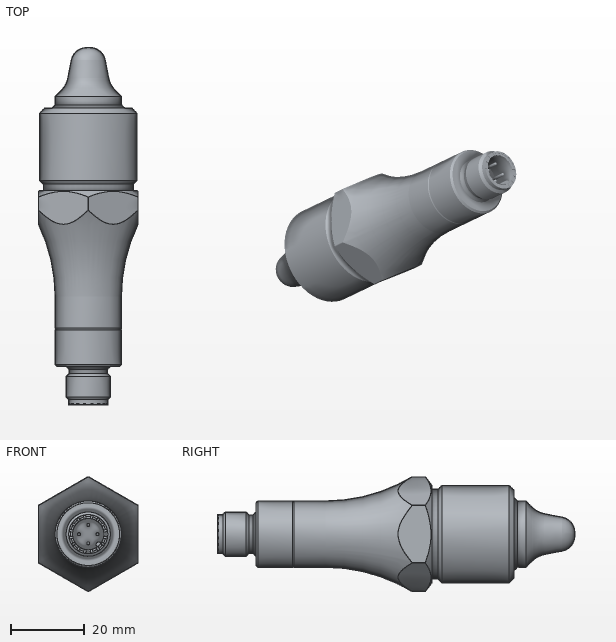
import cadquery as cq
import math

overall_length = 96.84

plug_tip_diameter = 10.6
ring_diameter = 12.0
neck_diameter = 10.4
ring_front = 1.4
ring_back = 8.5
plug_bore_diameter = 8.5
plug_bore_depth = 8.0

pin_count = 4
pin_diameter = 0.8
pin_circle_diameter = 5.0
pin_recess = 2.0

key_diameter = 1.4
key_center_radius = 4.0
key_angle = -45.0
key_recess = 0.8

recess_diameter = 9.6
recess_depth = 0.15
slot_count = 16
slot_width = 0.6
slot_end_diameter = 10.4
slot_depth = 0.3

handle_diameter = 18.0
handle_front = 10.4
handle_chamfer = 0.5
seam_front = 20.3
seam_back = 20.75
seam_depth = 0.22
flare_start = 29.3
flare_radius = 45.0

hex_sides = 6
hex_across_flats = 27.0
hex_corner_diameter = 31.09
hex_back = 58.07
hex_chamfer_diameter = 26.4
hex_chamfer_length = 1.75

groove_diameter = 24.4
barrel_diameter = 26.44
barrel_front = 60.8
barrel_back = 80.4
barrel_back_chamfer = 1.4

nose_base_diameter = 18.0
nose_root_diameter = 17.94
nose_root_end = 81.3
nose_step = 82.1
nose_shoulder = 83.55
shoulder_angle = 45.0
taper_angle = 11.0
nose_fillet_radius = 6.3
nose_tip_radius = 4.3
nose_flat_radius = 0.4

hex_corner_radius = hex_corner_diameter / 2


def revolve_about_y(profile):
    """Close an outline in (radius, Y) against the axis and turn it into a solid."""
    return profile.close().revolve(360, (0, 0, 0), (0, 1, 0))


def arc_point(center, radius, angle):
    """Point on a circle at an angle in degrees from the +radius direction."""
    return (
        center[0] + radius * math.cos(math.radians(angle)),
        center[1] + radius * math.sin(math.radians(angle)),
    )


def make_plug():
    """Plug tip, coupling ring and neck, joined by 45 degree cones."""
    tip = plug_tip_diameter / 2
    ring = ring_diameter / 2
    neck = neck_diameter / 2
    profile = (
        cq.Workplane("XY")
        .lineTo(tip, 0)
        .lineTo(tip, ring_front)
        .lineTo(ring, ring_front + ring - tip)
        .lineTo(ring, ring_back - (ring - neck))
        .lineTo(neck, ring_back)
        .lineTo(neck, handle_front - (ring - neck))
        .lineTo(ring, handle_front)
        .lineTo(0, handle_front)
    )
    return revolve_about_y(profile)


def make_handle():
    """Handle whose flare widens to the hexagon corners and is trimmed by the hexagon flats."""
    radius = handle_diameter / 2
    flare_center = (radius + flare_radius, flare_start)
    flare_rise = hex_corner_radius - radius
    flare_sweep = math.degrees(math.acos(1 - flare_rise / flare_radius))
    flare_middle = arc_point(flare_center, flare_radius, 180 - flare_sweep / 2)
    flare_end = arc_point(flare_center, flare_radius, 180 - flare_sweep)
    profile = (
        cq.Workplane("XY")
        .moveTo(0, handle_front)
        .lineTo(radius - handle_chamfer, handle_front)
        .lineTo(radius, handle_front + handle_chamfer)
        .lineTo(radius, seam_front)
        .lineTo(radius - seam_depth, seam_front)
        .lineTo(radius, seam_back)
        .lineTo(radius, flare_start)
        .threePointArc(flare_middle, flare_end)
        .lineTo(hex_corner_radius, hex_back - hex_chamfer_length)
        .lineTo(hex_chamfer_diameter / 2, hex_back)
        .lineTo(0, hex_back)
    )
    half_side_angle = 180 / hex_sides
    hexagon = (
        cq.Workplane("XZ", origin=(0, hex_back, 0))
        .polygon(hex_sides, hex_across_flats / math.cos(math.radians(half_side_angle)))
        .extrude(hex_back - handle_front)
        .rotate((0, 0, 0), (0, 1, 0), half_side_angle)
    )
    return revolve_about_y(profile).intersect(hexagon)


def make_barrel():
    """Groove behind the hexagon and the barrel with its end chamfers."""
    groove = groove_diameter / 2
    barrel = barrel_diameter / 2
    profile = (
        cq.Workplane("XY")
        .moveTo(0, hex_back)
        .lineTo(groove, hex_back)
        .lineTo(groove, barrel_front - (barrel - groove))
        .lineTo(barrel, barrel_front)
        .lineTo(barrel, barrel_back - barrel_back_chamfer)
        .lineTo(barrel - barrel_back_chamfer, barrel_back)
        .lineTo(0, barrel_back)
    )
    return revolve_about_y(profile)


def make_nose():
    """Nose from its stepped root over the shoulder cone and taper to the rounded tip."""
    base = nose_base_diameter / 2
    root = nose_root_diameter / 2
    tip_center = (nose_flat_radius, overall_length - nose_tip_radius)
    tip_end = arc_point(tip_center, nose_tip_radius, taper_angle)
    tip_middle = arc_point(tip_center, nose_tip_radius, (90 + taper_angle) / 2)

    taper_slope = math.tan(math.radians(taper_angle))
    shoulder_slope = math.tan(math.radians(shoulder_angle))
    unit_taper = arc_point((0, 0), nose_fillet_radius, taper_angle)
    unit_shoulder = arc_point((0, 0), nose_fillet_radius, shoulder_angle)
    fillet_width = unit_taper[0] - unit_shoulder[0]
    fillet_height = unit_shoulder[1] - unit_taper[1]
    shoulder_reach = base + (nose_shoulder + fillet_height) * shoulder_slope - fillet_width
    taper_reach = tip_end[0] + tip_end[1] * taper_slope
    fillet_top_y = (shoulder_reach - taper_reach) / (shoulder_slope - taper_slope)
    fillet_top = (taper_reach - fillet_top_y * taper_slope, fillet_top_y)
    fillet_center = (fillet_top[0] + unit_taper[0], fillet_top[1] + unit_taper[1])
    fillet_middle = arc_point(fillet_center, nose_fillet_radius, 180 + (taper_angle + shoulder_angle) / 2)
    fillet_bottom = arc_point(fillet_center, nose_fillet_radius, 180 + shoulder_angle)

    profile = (
        cq.Workplane("XY")
        .moveTo(0, barrel_back)
        .lineTo(root + nose_root_end - barrel_back, barrel_back)
        .lineTo(root, nose_root_end)
        .lineTo(base, nose_step)
        .lineTo(base, nose_shoulder)
        .lineTo(*fillet_bottom)
        .threePointArc(fillet_middle, fillet_top)
        .lineTo(*tip_end)
        .threePointArc(tip_middle, (nose_flat_radius, overall_length))
        .lineTo(0, overall_length)
    )
    return revolve_about_y(profile)


def make_bore():
    """Blind round socket in the plug face."""
    return cq.Workplane("XZ").circle(plug_bore_diameter / 2).extrude(-plug_bore_depth)


def make_castellated_recess():
    """Shallow round recess crossed by deeper radial slots at an even pitch."""
    recess = cq.Workplane("XZ").circle(recess_diameter / 2).extrude(-recess_depth)
    slot_length = slot_end_diameter / 2
    slot = cq.Workplane("XY").box(slot_length, slot_depth, slot_width, centered=(False, False, True))
    slot_limit = cq.Workplane("XZ").circle(slot_length).extrude(-slot_depth)
    slot = slot.intersect(slot_limit)
    pitch = 360 / slot_count
    for index in range(slot_count):
        recess = recess.union(slot.rotate((0, 0, 0), (0, 1, 0), (index + 0.5) * pitch))
    return recess


def make_key():
    """Coding rib standing on the bore floor."""
    center = arc_point((0, 0), key_center_radius, key_angle)
    return (
        cq.Workplane("XZ", origin=(0, key_recess, 0))
        .center(*center)
        .circle(key_diameter / 2)
        .extrude(key_recess - plug_bore_depth)
    )


def make_pin(angle):
    """Contact pin with a spherical end, at an angle on the pin circle."""
    radius = pin_diameter / 2
    x, z = arc_point((0, 0), pin_circle_diameter / 2, angle)
    dome_center = pin_recess + radius
    shank_start = cq.Workplane("XZ", origin=(x, dome_center, z))
    shank = shank_start.circle(radius).extrude(dome_center - plug_bore_depth)
    dome = cq.Workplane("XY").sphere(radius).translate((x, dome_center, z))
    return shank.union(dome)


result = make_plug().union(make_handle()).union(make_barrel()).union(make_nose())
result = result.cut(make_bore()).cut(make_castellated_recess()).union(make_key())
for pin_index in range(pin_count):
    result = result.union(make_pin(pin_index * 360 / pin_count))